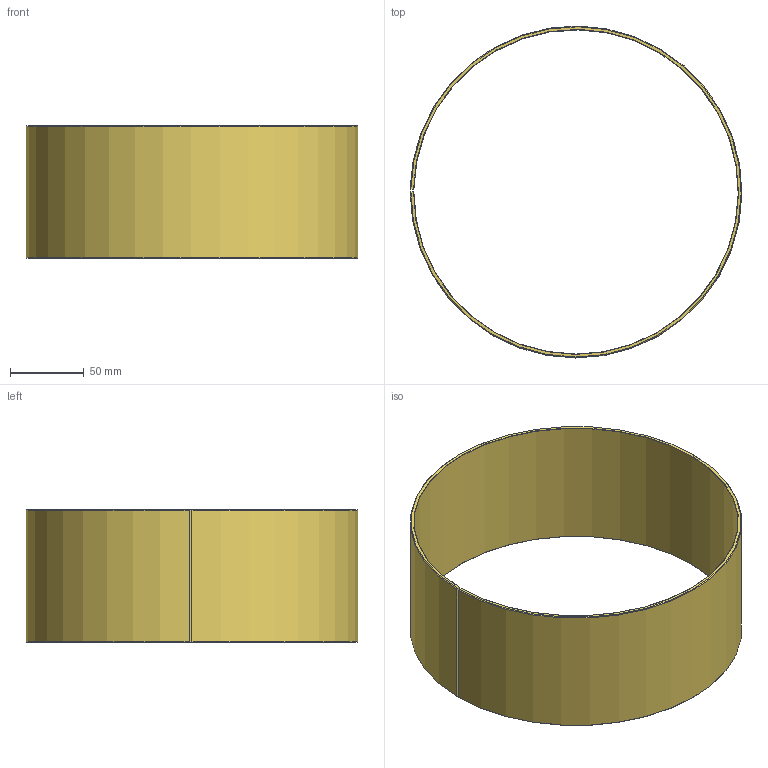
import cadquery as cq

outer_diameter = 225.0
wall_thickness = 2.5
height = 90.0
slit_angle = 1.0
outer_chamfer = 0.5
inner_chamfer = 0.2

outer_radius = outer_diameter / 2
inner_radius = outer_radius - wall_thickness


def make_wall_profile():
    """Cross-section of the wall on the -X side, with all four corners chamfered."""
    return (
        cq.Workplane("XZ")
        .moveTo(-outer_radius, outer_chamfer)
        .lineTo(-outer_radius + outer_chamfer, 0)
        .lineTo(-inner_radius - inner_chamfer, 0)
        .lineTo(-inner_radius, inner_chamfer)
        .lineTo(-inner_radius, height - inner_chamfer)
        .lineTo(-inner_radius - inner_chamfer, height)
        .lineTo(-outer_radius + outer_chamfer, height)
        .lineTo(-outer_radius, height - outer_chamfer)
        .close()
    )


def make_split_sleeve():
    """Revolve the wall about Z from y = 0 on the -X side toward -Y, stopping short to leave the slit."""
    axis_start = (0, 0, 0)
    axis_end = (0, 1, 0)
    return make_wall_profile().revolve(360 - slit_angle, axis_start, axis_end)


result = make_split_sleeve()